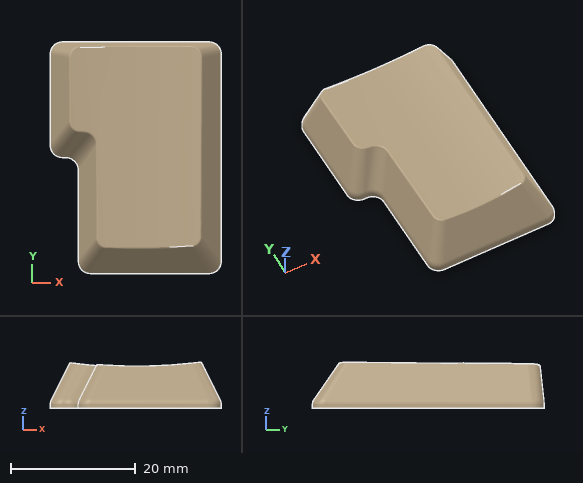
import cadquery as cq
import math

WIDTH = 27.46
LENGTH = 37.21
STEP_WIDTH = 4.5

SKIRT_TOP = 0.66
BLEND_TOP = 1.42
BLEND_SECTIONS = 4
TAPER_TOP = 8.0

SIDE_SLOPE = 0.5
FRONT_SLOPE = 0.69
STEP_FRONT_SLOPE = 0.67
BACK_SLOPE = 0.11

BASE_RADIUS = 2.0
FRONT_TOP_RADIUS = 1.4
BACK_TOP_RADIUS = 2.0
STEP_OUTER_TOP_RADIUS = 1.5
STEP_INNER_TOP_RADIUS = 1.8

DISH_RADIUS = 78.0
DISH_CENTER_X = 0.3
DISH_FLOOR_HEIGHT = 6.66
DISH_FALL_ANGLE = 0.62
DISH_LENGTH = 2 * LENGTH
RIM_RADIUS = 0.3


def wall_rise(height):
    """Rise that sets the wall inset: none on the skirt, growing as a parabola in the blend, then linear."""
    blend_height = BLEND_TOP - SKIRT_TOP
    above_skirt = max(height - SKIRT_TOP, 0)
    if above_skirt < blend_height:
        return above_skirt**2 / (2 * blend_height)
    return above_skirt - blend_height / 2


def outline_corners(height):
    """Sharp corners of the wall outline at a given height, counterclockwise from the step side."""
    rise = wall_rise(height)
    side_inset = SIDE_SLOPE * rise
    left = -WIDTH / 2 + side_inset
    right = WIDTH / 2 - side_inset
    front = -LENGTH / 2 + FRONT_SLOPE * rise
    back = LENGTH / 2 - BACK_SLOPE * rise
    step_x = left + STEP_WIDTH
    step_y = STEP_FRONT_SLOPE * rise
    return [
        (step_x, front),
        (right, front),
        (right, back),
        (left, back),
        (left, step_y),
        (step_x, step_y),
    ]


def corner_radii(height):
    """Corner radii at a given height, in the order of the outline corners."""
    top_radii = [
        FRONT_TOP_RADIUS,
        FRONT_TOP_RADIUS,
        BACK_TOP_RADIUS,
        BACK_TOP_RADIUS,
        STEP_OUTER_TOP_RADIUS,
        STEP_INNER_TOP_RADIUS,
    ]
    share = wall_rise(height) / wall_rise(TAPER_TOP)
    return [BASE_RADIUS + (top_radius - BASE_RADIUS) * share for top_radius in top_radii]


def toward(start, end, distance):
    """Point at a distance from start along the line to end."""
    fraction = distance / math.dist(start, end)
    return tuple(a + (b - a) * fraction for a, b in zip(start, end))


def corner_arc(previous, corner, following, radius):
    """Start, middle and end of the quarter arc that rounds a square corner."""
    start = toward(corner, previous, radius)
    end = toward(corner, following, radius)
    chord_middle = ((start[0] + end[0]) / 2, (start[1] + end[1]) / 2)
    middle = toward(corner, chord_middle, radius * (math.sqrt(2) - 1))
    return start, middle, end


def wall_outline(height):
    """Closed rounded outline of the walls at a given height."""
    corners = outline_corners(height)
    radii = corner_radii(height)
    following_corners = corners[1:] + corners[:1]
    path = cq.Workplane("XY", origin=(0, 0, height))
    for index, corner in enumerate(corners):
        start, middle, end = corner_arc(corners[index - 1], corner, following_corners[index], radii[index])
        path = path.moveTo(*start) if index == 0 else path.lineTo(*start)
        path = path.threePointArc(middle, end)
    return path.close()


def make_skirt():
    return wall_outline(0).extrude(SKIRT_TOP)


def make_blend():
    """Curved band that turns the upright skirt smoothly into the tapered walls."""
    spacing = (BLEND_TOP - SKIRT_TOP) / (BLEND_SECTIONS - 1)
    heights = [SKIRT_TOP + index * spacing for index in range(BLEND_SECTIONS)]
    return cq.Solid.makeLoft([wall_outline(height).val() for height in heights])


def make_tapered_walls():
    return cq.Solid.makeLoft([wall_outline(BLEND_TOP).val(), wall_outline(TAPER_TOP).val()], ruled=True)


def make_dish():
    dish = cq.Workplane("XZ").circle(DISH_RADIUS).extrude(DISH_LENGTH / 2, both=True)
    dish = dish.rotate((0, 0, 0), (1, 0, 0), -DISH_FALL_ANGLE)
    return dish.translate((DISH_CENTER_X, 0, DISH_FLOOR_HEIGHT + DISH_RADIUS))


def round_rim(body):
    """Round the edge all around the dished top face, the face with the highest centre."""
    return body.faces(">Z").edges().fillet(RIM_RADIUS)


keycap = make_skirt().union(cq.Workplane(make_blend())).union(cq.Workplane(make_tapered_walls()))
keycap = keycap.cut(make_dish())
result = round_rim(keycap)